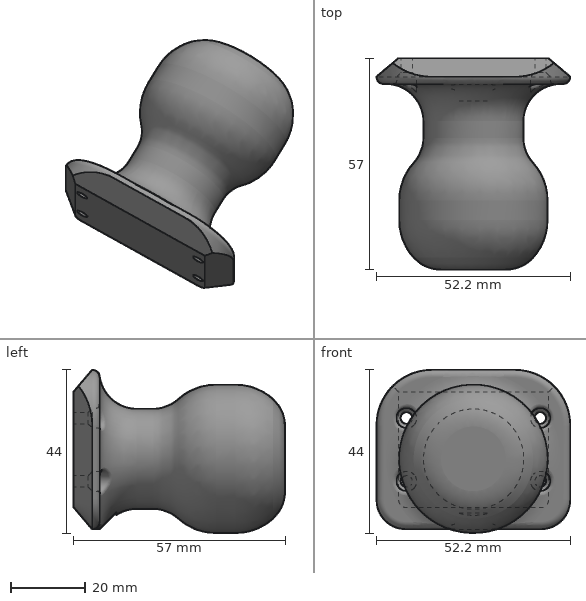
import cadquery as cq
import math

plate_width = 52.2
plate_top = 24.0
plate_bottom = -19.0
plate_depth = 7.0
top_corner_radius = 15.0
bottom_corner_radius = 8.0
bevel_depth = 5.0
bevel_inset = 5.9
edge_radius = 2.0
underside_trim = 4.5

knob_front = 57.0
neck_radius = 13.5
flare_radius = 10.0
ball_radius = 20.0
ball_arc_radius = 15.0
ball_back_center = 38.3
front_flat_radius = 8.7
front_round_radius = 10.0

hole_x = 18.0
hole_heights = (11.0, -6.0)
hole_radius = 1.55
head_radius = 2.7
head_seat = 5.0
head_cone_depth = 1.15
head_lip_radius = 1.0
mouth_reach = 2.95
mouth_gap = 0.55

half_width = plate_width / 2


def point_toward(start, end, distance):
    """Return the point at a distance from start on the line to end."""
    length = math.dist(start, end)
    return tuple(a + (b - a) * distance / length for a, b in zip(start, end))


def arc_middle(center, radius, start, end):
    """Return the middle of the short arc between two points on a circle."""
    chord_middle = tuple((a + b) / 2 for a, b in zip(start, end))
    return point_toward(center, chord_middle, radius)


def plate_outline(depth):
    """Extrude the rounded plate outline forward from the back face."""
    height = plate_top - plate_bottom
    block = (
        cq.Workplane("XZ")
        .center(0, (plate_top + plate_bottom) / 2)
        .rect(plate_width, height)
        .extrude(depth)
    )
    block = block.edges("|Y and >Z").fillet(top_corner_radius)
    return block.edges("|Y and <Z").fillet(bottom_corner_radius)


def square_topped_outline(inset):
    """Sketch the plate outline, inset, with only its bottom corners rounded."""
    return (
        cq.Sketch()
        .rect(plate_width - 2 * inset, plate_top - plate_bottom - 2 * inset)
        .vertices("<Y")
        .fillet(bottom_corner_radius - inset)
        .reset()
    )


def bevel_body():
    """Narrow the plate toward its back, with conical sides at the bottom corners."""
    return (
        cq.Workplane("XZ")
        .center(0, (plate_top + plate_bottom) / 2)
        .placeSketch(
            square_topped_outline(bevel_inset),
            square_topped_outline(0).moved(cq.Location(cq.Vector(0, 0, bevel_depth))),
        )
        .loft(ruled=True)
    )


def underside_cutter():
    """Build the 45 degree wedge that trims the lower lip of the flare."""
    return (
        cq.Workplane("YZ")
        .moveTo(-plate_depth, plate_bottom)
        .lineTo(-plate_depth - underside_trim, plate_bottom + underside_trim)
        .lineTo(-plate_depth - underside_trim, plate_bottom)
        .close()
        .extrude(half_width, both=True)
    )


def flare():
    """Revolve the concave foot that joins the plate to the neck."""
    center = (neck_radius + flare_radius, plate_depth + flare_radius)
    foot = (center[0], plate_depth)
    neck = (neck_radius, center[1])
    profile = (
        cq.Workplane("XY")
        .moveTo(0, -bevel_depth)
        .lineTo(foot[0], -bevel_depth)
        .lineTo(foot[0], -foot[1])
    )
    middle = arc_middle(center, flare_radius, foot, neck)
    profile = profile.threePointArc((middle[0], -middle[1]), (neck[0], -neck[1]))
    return profile.lineTo(0, -neck[1]).close().revolve(360, (0, 0, 0), (0, 1, 0))


def knob():
    """Revolve the neck and ball, with every arc tangent to its neighbours."""
    arc_axis_offset = ball_radius - ball_arc_radius
    neck_arc_axis_offset = neck_radius + flare_radius
    neck_end = ball_back_center - math.sqrt(
        (ball_arc_radius + flare_radius) ** 2 - (neck_arc_axis_offset - arc_axis_offset) ** 2
    )
    round_center = (front_flat_radius, knob_front - front_round_radius)
    ball_front_center = round_center[1] - math.sqrt(
        (ball_arc_radius - front_round_radius) ** 2 - (front_flat_radius - arc_axis_offset) ** 2
    )
    neck_center = (neck_arc_axis_offset, neck_end)
    back_center = (arc_axis_offset, ball_back_center)
    front_center = (arc_axis_offset, ball_front_center)
    neck_join = point_toward(back_center, neck_center, ball_arc_radius)
    front_join = point_toward(front_center, round_center, ball_arc_radius)

    arcs = (
        (neck_center, flare_radius, (neck_radius, neck_end), neck_join),
        (back_center, ball_arc_radius, neck_join, (ball_radius, ball_back_center)),
        (front_center, ball_arc_radius, (ball_radius, ball_front_center), front_join),
        (round_center, front_round_radius, front_join, (front_flat_radius, knob_front)),
    )
    neck_start = plate_depth + flare_radius
    position = (neck_radius, neck_start)
    profile = cq.Workplane("XY").moveTo(0, -neck_start).lineTo(neck_radius, -neck_start)
    for center, radius, start, end in arcs:
        if math.dist(position, start) > 0:
            profile = profile.lineTo(start[0], -start[1])
        middle = arc_middle(center, radius, start, end)
        profile = profile.threePointArc((middle[0], -middle[1]), (end[0], -end[1]))
        position = end
    return profile.lineTo(0, -knob_front).close().revolve(360, (0, 0, 0), (0, 1, 0))


def screw_hole(x, z):
    """Build a through hole with a conical head seat open to the front."""
    seat_bottom = head_seat - head_cone_depth
    head_end = plate_depth + flare_radius
    return (
        cq.Workplane("XY")
        .lineTo(hole_radius, 0)
        .lineTo(hole_radius, -seat_bottom)
        .lineTo(head_radius, -head_seat)
        .lineTo(head_radius, -head_end)
        .lineTo(0, -head_end)
        .close()
        .revolve(360, (0, 0, 0), (0, 1, 0))
        .translate((x, 0, z))
    )


base = plate_outline(plate_depth).union(
    flare().intersect(plate_outline(plate_depth + flare_radius))
)
side_rim = cq.selectors.NearestToPointSelector((half_width, -plate_depth, 0))
base = base.edges(side_rim).fillet(edge_radius)

front_block = (
    cq.Workplane("XZ", origin=(0, -bevel_depth, 0))
    .rect(2 * plate_width, 2 * plate_width)
    .extrude(plate_depth + flare_radius)
)
base = base.intersect(bevel_body().union(front_block))
base = base.cut(underside_cutter())

for side in (-1, 1):
    for hole_z in hole_heights:
        hole_place = side * hole_x
        base = base.cut(screw_hole(hole_place, hole_z))
        mouth = cq.selectors.BoxSelector(
            (hole_place - mouth_reach, -plate_depth - flare_radius, hole_z - mouth_reach),
            (hole_place + mouth_reach, -head_seat - mouth_gap, hole_z + mouth_reach),
            boundingbox=True,
        )
        base = base.edges(mouth).edges("not |Y").fillet(head_lip_radius)

result = base.union(knob())